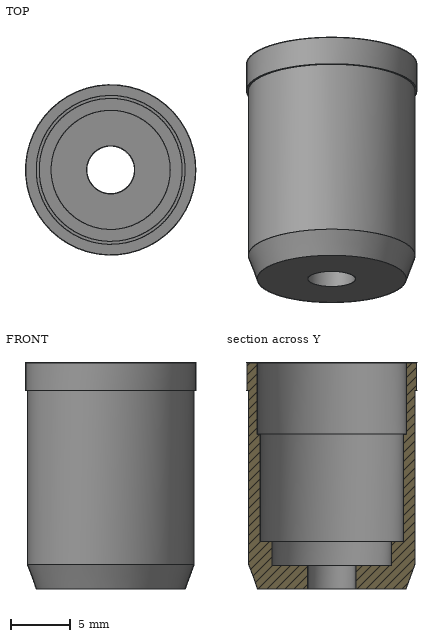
import cadquery as cq
import math

total_height = 19.0
body_diameter = 14.0

collar_diameter = 14.3
collar_height = 2.35

tip_diameter = 12.5
taper_angle = 20.0
taper_height = (body_diameter - tip_diameter) / 2 / math.tan(math.radians(taper_angle))

mouth_diameter = 12.5
mouth_depth = 6.0
bore_diameter = 12.0
bore_depth = 15.0
recess_diameter = 10.0
recess_depth = 17.0
hole_diameter = 4.0


def make_body():
    """Solid sleeve: tapered tip, straight barrel and top collar, turned about Z."""
    tip_radius = tip_diameter / 2
    body_radius = body_diameter / 2
    collar_radius = collar_diameter / 2
    collar_base = total_height - collar_height
    outline = (
        cq.Workplane("XZ")
        .moveTo(0, 0)
        .lineTo(tip_radius, 0)
        .lineTo(body_radius, taper_height)
        .lineTo(body_radius, collar_base)
        .lineTo(collar_radius, collar_base)
        .lineTo(collar_radius, total_height)
        .lineTo(0, total_height)
        .close()
    )
    return outline.revolve(360, (0, 0, 0), (0, 1, 0))


def cut_bore(part, diameter, depth):
    """Cut a round bore down from the top face."""
    floor = total_height - depth
    cutter = cq.Workplane("XY").workplane(offset=floor).circle(diameter / 2).extrude(depth)
    return part.cut(cutter)


bore_steps = [
    (mouth_diameter, mouth_depth),
    (bore_diameter, bore_depth),
    (recess_diameter, recess_depth),
    (hole_diameter, total_height),
]

result = make_body()
for step_diameter, step_depth in bore_steps:
    result = cut_bore(result, step_diameter, step_depth)